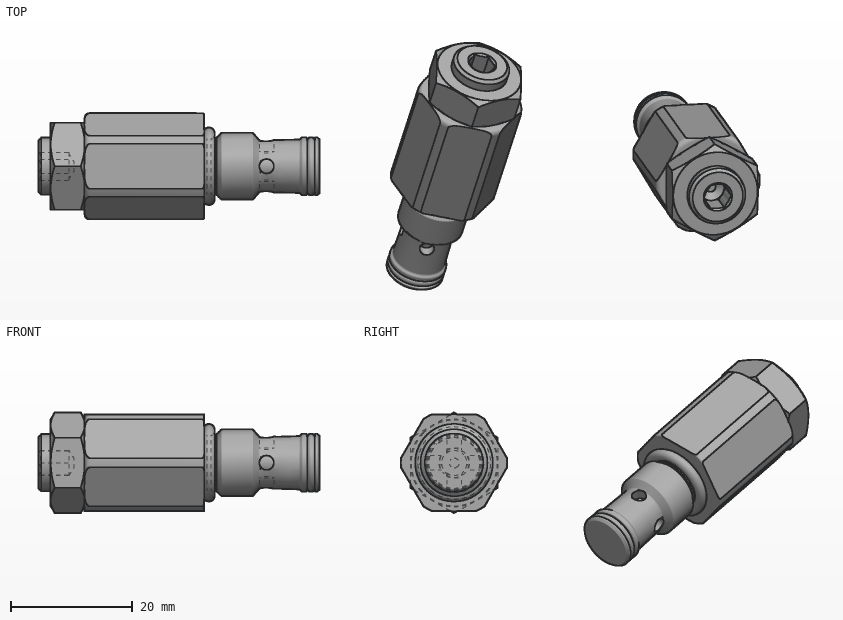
import cadquery as cq
import math

INCH = 25.4
OVERALL_LENGTH = 46.18

STEM_RADIUS = 4.72
STEM_CHAMFER = 0.52
SOCKET_FLATS = 4.0
SOCKET_DRILL_RADIUS = 2.06
SOCKET_MOUTH_RADIUS = 2.4
SOCKET_DEPTH = 5.0
SOCKET_FLOOR_RADIUS = 0.8
SOCKET_CONE_DEPTH = 0.8

NUT_START = 2.0
NUT_LENGTH = 5.58
NUT_FLATS = 9 / 16 * INCH
NUT_CHAMFER_ANGLE = 30
NUT_OUTER_FACE_RADIUS = 7.05
NUT_INNER_FACE_RADIUS = 7.2
NUT_ENVELOPE_MARGIN = 0.5

BODY_START = NUT_START + NUT_LENGTH
BODY_END = 27.2
BODY_FLATS = 15.85
BODY_RADIUS = 8.74
BODY_REAR_FILLET = 0.88
BODY_FRONT_FILLET = 0.3

SHOULDER_RING_SECTION = 0.97
SHOULDER_RING_RADIUS = 5.41
SHOULDER_RING_X = 28.0
SHOULDER_GROOVE_RADIUS = 4.5
SHOULDER_GROOVE_END = 29.04

NECK_RADIUS = 4.68
NECK_END = 29.25
LAND_RADIUS = 5.5
LAND_START = NECK_END + LAND_RADIUS - NECK_RADIUS
LAND_END = 35.2
WAIST_START = 36.3
WAIST_START_RADIUS = 4.25
WAIST_END = 42.9
WAIST_END_RADIUS = 4.41
COLLAR_RADIUS = 4.79
COLLAR_START = WAIST_END + COLLAR_RADIUS - WAIST_END_RADIUS
TIP_CHAMFER = 0.42
TIP_CHAMFER_START = OVERALL_LENGTH - TIP_CHAMFER
LAND_FILLET = 0.2
COLLAR_FILLET = 0.3
TIP_FILLET = 0.15

GROOVE_START = 44.12
GROOVE_END = 45.38
SEAL_SECTION = 0.63
SEAL_RADIUS = COLLAR_RADIUS - SEAL_SECTION

PORT_COUNT = 4
PORT_X = 37.46
PORT_RADIUS = 1.19
SPOOL_RADIUS = 2.5


def revolve_profile(points):
    """Revolve a closed (x, radius) outline around the X axis."""
    return cq.Workplane("XY").polyline(points).close().revolve(360, (0, 0, 0), (1, 0, 0))


def cylinder(start, end, radius):
    return cq.Workplane("YZ", origin=(start, 0, 0)).circle(radius).extrude(end - start)


def hexagon(start, end, flats, turn=0):
    """Hexagonal bar along X with corners on the Y axis, turned by an angle in degrees."""
    corner_diameter = flats / math.cos(math.pi / 6)
    bar = cq.Workplane("YZ", origin=(start, 0, 0)).polygon(6, corner_diameter).extrude(end - start)
    return bar.rotate((0, 0, 0), (1, 0, 0), turn)


def ring(x, radius, section):
    """O-ring centred on the X axis."""
    section_circle = cq.Workplane("XY").center(x, radius).circle(section)
    return section_circle.revolve(360, (-x, -radius, 0), (1 - x, -radius, 0))


def round_circle(solid, x, radius, fillet):
    """Fillet the circular edge of the given radius in the plane at x."""
    tolerance = 1e-4

    def is_wanted(edge):
        if edge.geomType() != "CIRCLE":
            return False
        return abs(edge.arcCenter().x - x) < tolerance and abs(edge.radius() - radius) < tolerance

    return solid.newObject(solid.edges().filter(is_wanted).vals()).fillet(fillet)


def make_stem():
    stem = cylinder(0, BODY_START, STEM_RADIUS)
    return stem.faces("<X").chamfer(STEM_CHAMFER)


def make_nut():
    slope = math.tan(math.radians(NUT_CHAMFER_ANGLE))
    limit_radius = NUT_FLATS / math.sqrt(3) + NUT_ENVELOPE_MARGIN
    outer_chamfer = (limit_radius - NUT_OUTER_FACE_RADIUS) * slope
    inner_chamfer = (limit_radius - NUT_INNER_FACE_RADIUS) * slope
    envelope = revolve_profile([
        (NUT_START, 0),
        (NUT_START, NUT_OUTER_FACE_RADIUS),
        (NUT_START + outer_chamfer, limit_radius),
        (BODY_START - inner_chamfer, limit_radius),
        (BODY_START, NUT_INNER_FACE_RADIUS),
        (BODY_START, 0),
    ])
    return hexagon(NUT_START, BODY_START, NUT_FLATS, turn=30).intersect(envelope)


def make_body():
    envelope = cylinder(BODY_START, BODY_END, BODY_RADIUS)
    envelope = envelope.faces("<X").edges().fillet(BODY_REAR_FILLET)
    envelope = envelope.faces(">X").edges().fillet(BODY_FRONT_FILLET)
    return hexagon(BODY_START, BODY_END, BODY_FLATS).intersect(envelope)


def make_nose():
    nose = revolve_profile([
        (BODY_END, 0),
        (BODY_END, SHOULDER_GROOVE_RADIUS),
        (SHOULDER_GROOVE_END, SHOULDER_GROOVE_RADIUS),
        (SHOULDER_GROOVE_END, NECK_RADIUS),
        (NECK_END, NECK_RADIUS),
        (LAND_START, LAND_RADIUS),
        (LAND_END, LAND_RADIUS),
        (WAIST_START, WAIST_START_RADIUS),
        (WAIST_END, WAIST_END_RADIUS),
        (COLLAR_START, COLLAR_RADIUS),
        (GROOVE_START, COLLAR_RADIUS),
        (GROOVE_START, SEAL_RADIUS),
        (GROOVE_END, SEAL_RADIUS),
        (GROOVE_END, COLLAR_RADIUS),
        (TIP_CHAMFER_START, COLLAR_RADIUS),
        (OVERALL_LENGTH, COLLAR_RADIUS - TIP_CHAMFER),
        (OVERALL_LENGTH, 0),
    ])
    rounded_circles = [
        (LAND_START, LAND_RADIUS, LAND_FILLET),
        (LAND_END, LAND_RADIUS, LAND_FILLET),
        (WAIST_START, WAIST_START_RADIUS, LAND_FILLET),
        (WAIST_END, WAIST_END_RADIUS, COLLAR_FILLET),
        (COLLAR_START, COLLAR_RADIUS, COLLAR_FILLET),
        (GROOVE_START, COLLAR_RADIUS, COLLAR_FILLET),
        (GROOVE_END, COLLAR_RADIUS, TIP_FILLET),
        (TIP_CHAMFER_START, COLLAR_RADIUS, TIP_FILLET),
        (OVERALL_LENGTH, COLLAR_RADIUS - TIP_CHAMFER, TIP_FILLET),
    ]
    for x, radius, fillet in rounded_circles:
        nose = round_circle(nose, x, radius, fillet)
    return nose


def make_socket():
    """Drilled hexagon socket with a countersunk mouth and a conical floor."""
    drill = revolve_profile([
        (0, 0),
        (0, SOCKET_MOUTH_RADIUS),
        (SOCKET_MOUTH_RADIUS - SOCKET_DRILL_RADIUS, SOCKET_DRILL_RADIUS),
        (SOCKET_DEPTH, SOCKET_DRILL_RADIUS),
        (SOCKET_DEPTH + SOCKET_CONE_DEPTH, SOCKET_FLOOR_RADIUS),
        (SOCKET_DEPTH + SOCKET_CONE_DEPTH, 0),
    ])
    return drill.union(hexagon(0, SOCKET_DEPTH, SOCKET_FLATS))


def make_ports():
    ports = cq.Workplane("XY")
    for index in range(PORT_COUNT):
        port = cq.Workplane("XY", origin=(PORT_X, 0, 0)).circle(PORT_RADIUS).extrude(LAND_RADIUS)
        ports = ports.add(port.rotate((0, 0, 0), (1, 0, 0), index * 360 / PORT_COUNT))
    spool = cylinder(WAIST_START - PORT_RADIUS, WAIST_END, SPOOL_RADIUS)
    return ports.combine().cut(spool)


valve = make_stem().union(make_nut()).union(make_body()).union(make_nose())
valve = valve.union(ring(SHOULDER_RING_X, SHOULDER_RING_RADIUS, SHOULDER_RING_SECTION))
valve = valve.union(ring((GROOVE_START + GROOVE_END) / 2, SEAL_RADIUS, SEAL_SECTION))
result = valve.cut(make_socket()).cut(make_ports())